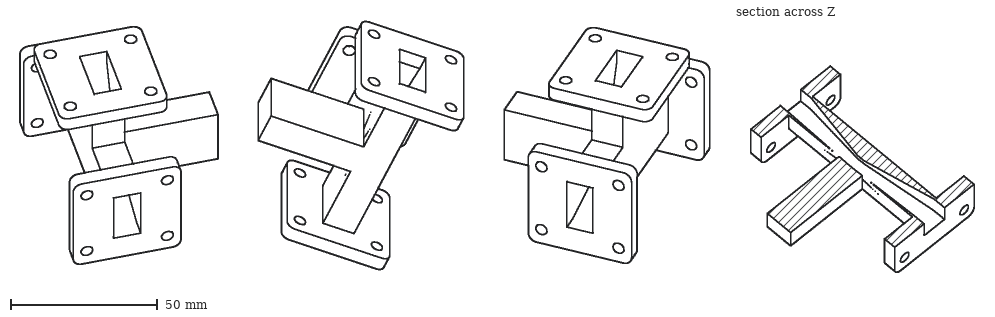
import cadquery as cq

overall_length = 70.0
flange_size = 38.0
flange_thickness = 5.05
flange_corner_radius = 3.0
bolt_hole_diameter = 4.05
bolt_spacing_wide = 28.4
bolt_spacing_narrow = 26.4
top_height = 35.0
back_reach = 40.0

arm_wide = 21.0
arm_narrow = 11.5
bore_wide = 19.05
bore_narrow = 9.6

chamber_width = 3.15
chamber_depth = 4.75
chamber_height = 3.15
chamber_front = 0.9
chamber_drop = 2.95

half_length = overall_length / 2
chamber_y = chamber_front + chamber_depth / 2
chamber_top = chamber_height / 2 - chamber_drop


def port_plane(origin, normal):
    """Plane on a port, with local x along Y and local z pointing outward."""
    return cq.Plane(origin=origin, xDir=(0, 1, 0), normal=normal)


def flange(outer_face):
    plate = (
        cq.Workplane(outer_face)
        .rect(flange_size, flange_size)
        .extrude(-flange_thickness)
        .edges(cq.selectors.ParallelDirSelector(outer_face.zDir))
        .fillet(flange_corner_radius)
    )
    bolt_holes = (
        cq.Workplane(outer_face)
        .rect(bolt_spacing_wide, bolt_spacing_narrow, forConstruction=True)
        .vertices()
        .circle(bolt_hole_diameter / 2)
        .extrude(-flange_thickness)
    )
    return plate.cut(bolt_holes)


def tapered_bore(outer_face, chamber_face, chamber_side):
    """Straight through the flange, then tapered down to one chamber face."""
    straight = (
        cq.Workplane(outer_face)
        .rect(bore_narrow, bore_wide)
        .extrude(-flange_thickness)
    )
    inner = outer_face.toLocalCoords(cq.Vector(*chamber_face))
    taper = (
        cq.Workplane(outer_face)
        .workplane(offset=-flange_thickness)
        .rect(bore_narrow, bore_wide)
        .workplane(offset=inner.z + flange_thickness)
        .center(inner.x, inner.y)
        .rect(chamber_depth, chamber_side)
        .loft(ruled=True)
    )
    return straight.union(taper)


left_port = port_plane((-half_length, 0, 0), (-1, 0, 0))
right_port = port_plane((half_length, 0, 0), (1, 0, 0))
top_port = port_plane((0, 0, top_height), (0, 0, 1))

through_arm = cq.Workplane("XY").box(overall_length - 2 * flange_thickness, arm_narrow, arm_wide)
top_arm = cq.Workplane("XY").rect(arm_wide, arm_narrow).extrude(top_height - flange_thickness)
rear_arm = cq.Workplane("XZ").rect(arm_narrow, arm_wide).extrude(-back_reach)
body = through_arm.union(top_arm).union(rear_arm)

for port in (left_port, right_port, top_port):
    body = body.union(flange(port))

chamber = (
    cq.Workplane("XY")
    .box(chamber_width, chamber_depth, chamber_height)
    .translate((0, chamber_y, -chamber_drop))
)
left_bore = tapered_bore(left_port, (-chamber_width / 2, chamber_y, -chamber_drop), chamber_height)
right_bore = tapered_bore(right_port, (chamber_width / 2, chamber_y, -chamber_drop), chamber_height)
top_bore = tapered_bore(top_port, (0, chamber_y, chamber_top), chamber_width)

result = body.cut(chamber).cut(left_bore).cut(right_bore).cut(top_bore)